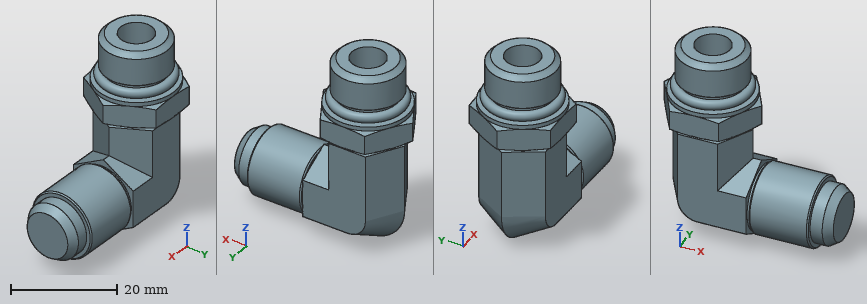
import cadquery as cq
import math


elbow_flats = 14.3
elbow_corners = elbow_flats / math.cos(math.radians(30))
elbow_corner_radius = elbow_corners / 2
overall_height = 40.0
port_top = overall_height - elbow_corner_radius
elbow_top = port_top - 17.0
elbow_end = 10.0

bore_radius = 3.6

thread_radius = 7.15
neck_radius = 6.7
port_face_radius = 6.05
port_rim_radius = 6.4
port_rim_base = port_top - 0.4
port_thread_top = port_top - 1.1
port_thread_bottom = port_top - 7.1
groove_top = port_top - 7.8

nut_flats = 17.45
nut_corners = nut_flats / math.cos(math.radians(30))
collar_radius = nut_flats / 2
collar_top = port_top - 9.9
nut_top = port_top - 10.75
nut_bottom = port_top - 15.8
nut_face_radius = 7.75
nut_chamfer_slope = math.tan(math.radians(15))

ring_section_radius = 1.0
ring_outer_radius = 8.05
ring_center_radius = ring_outer_radius - ring_section_radius
ring_center_height = collar_top + ring_section_radius
groove_radius = ring_center_radius - ring_section_radius

hose_thread_start = 10.5
hose_thread_end = 22.7
hose_thread_chamfer = 0.3
nose_radius = 6.05
nose_taper_start = 25.15
hose_end = 26.9
nose_tip_radius = 4.9


def hex_prism(plane, corners, length):
    """Hexagon with corners on the plane's local x axis, extruded along its normal."""
    return cq.Workplane(plane).polygon(6, corners).extrude(length)


def turned_about_z(profile):
    """Solid of revolution from (radius, height) points."""
    return cq.Workplane("XZ").polyline(profile).close().revolve(360, (0, 0), (0, 1))


def turned_about_x(profile):
    """Solid of revolution from (x, radius) points."""
    return cq.Workplane("XZ").polyline(profile).close().revolve(360, (0, 0), (1, 0))


def make_elbow_arms():
    port_arm = hex_prism("XY", elbow_corners, elbow_top)
    hose_plane = cq.Plane(origin=(0, 0, 0), xDir=(0, 0, 1), normal=(1, 0, 0))
    hose_arm = hex_prism(hose_plane, elbow_corners, elbow_end)
    half_flats = elbow_flats / 2
    edge_radius = elbow_corner_radius / 2
    bend_profile = [
        (0, -half_flats),
        (edge_radius, -half_flats),
        (elbow_corner_radius, 0),
        (edge_radius, half_flats),
        (0, half_flats),
    ]
    bend = cq.Workplane("XY").polyline(bend_profile).close().revolve(360, (0, 0), (0, 1))
    return port_arm.union(hose_arm).union(bend)


def make_port_end():
    return turned_about_z([
        (0, 0),
        (neck_radius, 0),
        (neck_radius, nut_bottom),
        (collar_radius, nut_bottom + (collar_radius - nut_face_radius) * nut_chamfer_slope),
        (collar_radius, collar_top),
        (groove_radius, collar_top),
        (groove_radius, groove_top),
        (thread_radius, port_thread_bottom),
        (thread_radius, port_thread_top),
        (port_rim_radius, port_rim_base),
        (port_face_radius, port_top),
        (0, port_top),
    ])


def make_nut():
    nut_plane = cq.Plane(origin=(0, 0, nut_bottom), xDir=(1, 0, 0), normal=(0, 0, 1))
    hexagon = hex_prism(nut_plane, nut_corners, nut_top - nut_bottom)
    corner_radius = nut_corners / 2
    top_drop = (corner_radius - collar_radius) * nut_chamfer_slope
    bottom_rise = (corner_radius - nut_face_radius) * nut_chamfer_slope
    chamfered_blank = turned_about_z([
        (0, nut_bottom),
        (nut_face_radius, nut_bottom),
        (corner_radius, nut_bottom + bottom_rise),
        (corner_radius, nut_top - top_drop),
        (collar_radius, nut_top),
        (0, nut_top),
    ])
    return hexagon.intersect(chamfered_blank)


def make_hose_end():
    thread_edge_radius = thread_radius - hose_thread_chamfer
    return turned_about_x([
        (0, 0),
        (0, neck_radius),
        (hose_thread_start, neck_radius),
        (hose_thread_start, thread_edge_radius),
        (hose_thread_start + hose_thread_chamfer, thread_radius),
        (hose_thread_end - hose_thread_chamfer, thread_radius),
        (hose_thread_end, thread_edge_radius),
        (hose_thread_end, nose_radius),
        (nose_taper_start, nose_radius),
        (hose_end, nose_tip_radius),
        (hose_end, 0),
    ])


def make_bore():
    """Blind, flat-bottomed bore from the port face down to the top of the elbow."""
    return cq.Workplane("XY", origin=(0, 0, elbow_top)).circle(bore_radius).extrude(port_top - elbow_top)


def make_fitting():
    fitting = make_elbow_arms().union(make_port_end()).union(make_nut()).union(make_hose_end())
    return fitting.cut(make_bore())


def make_sealing_ring():
    section = cq.Workplane("XZ").center(ring_center_radius, ring_center_height)
    axis_offset = -ring_center_radius
    return section.circle(ring_section_radius).revolve(360, (axis_offset, 0), (axis_offset, 1))


fitting = make_fitting()
sealing_ring = make_sealing_ring()
result = cq.Compound.makeCompound([fitting.val(), sealing_ring.val()])